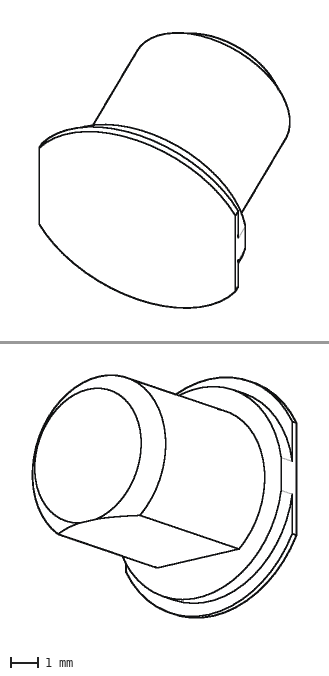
import cadquery as cq

head_diameter = 8.99
head_thickness = 0.25
collar_diameter = 8.0
collar_thickness = 0.64
width_across_flats = 7.9
shank_diameter = 6.34
shank_flat_depth = 2.5
end_chamfer = 0.64
total_length = 7.24

shank_start = head_thickness + collar_thickness
shank_length = total_length - shank_start


def cylinder(diameter, start, length):
    """Cylinder about the Y axis, growing toward +Y from y = start."""
    profile = cq.Workplane("XZ", origin=(0, start, 0)).circle(diameter / 2)
    return profile.extrude(-length)


def make_flange():
    """Head and collar, trimmed together by two flats on the X sides."""
    head = cylinder(head_diameter, 0, head_thickness)
    collar = cylinder(collar_diameter, head_thickness, collar_thickness)
    envelope = cq.Workplane("XY").box(
        width_across_flats, shank_start, head_diameter, centered=(True, False, True)
    )
    return head.union(collar).intersect(envelope)


def make_shank():
    """Chamfered round shank with one flat along its underside."""
    shank = cylinder(shank_diameter, shank_start, shank_length)
    shank = shank.faces(">Y").chamfer(end_chamfer)
    envelope_height = shank_flat_depth + shank_diameter / 2
    envelope = cq.Workplane("XY", origin=(0, shank_start, -shank_flat_depth)).box(
        shank_diameter, shank_length, envelope_height, centered=(True, False, False)
    )
    return shank.intersect(envelope)


result = make_flange().union(make_shank())